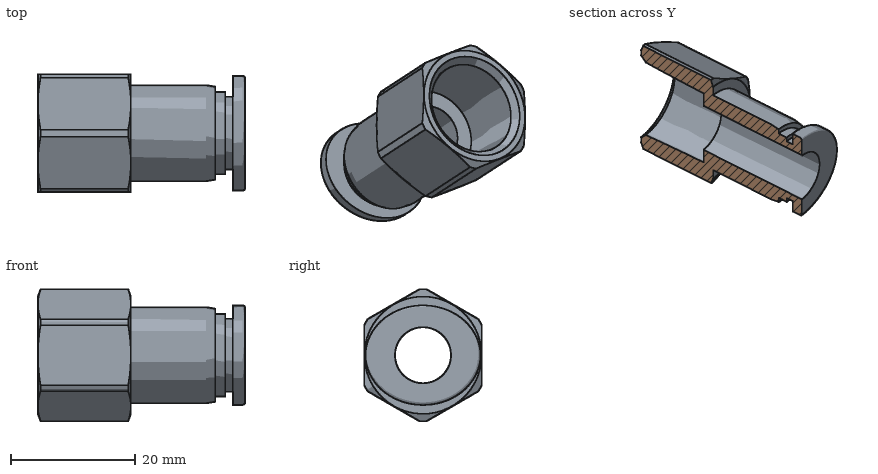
import cadquery as cq
import math

total_length = 33.4
hex_length = 15.0
body_taper_start = 27.12
body_end = 28.6
collar_end = 30.23
ring_start = 31.43

hex_across_flats = 19.0
hex_corner_diameter = 21.3
hex_face_diameter = 18.9
hex_chamfer_angle = 20.0

body_diameter = 15.53
body_end_diameter = 15.03
collar_diameter = 13.33
neck_diameter = 11.8

ring_width = 18.5
ring_height = 16.05
ring_edge_radius = 0.45

socket_mouth_diameter = 16.9
socket_diameter = 14.85
socket_depth = 13.0
socket_taper = 1 / 16
bore_diameter = 9.0


def revolve_about_x(profile):
    """Turn (x, radius) points, closed along the X axis, into a solid of revolution."""
    first_x = profile[0][0]
    last_x = profile[-1][0]
    points = [(first_x, 0)] + profile + [(last_x, 0)]
    return cq.Workplane("XY").polyline(points).close().revolve(360, (0, 0, 0), (1, 0, 0))


def make_hex_nut():
    """Hexagon with flats facing +Y and -Y, its corners turned round and chamfered at both ends."""
    corner_radius = hex_corner_diameter / 2
    face_radius = hex_face_diameter / 2
    chamfer_length = (corner_radius - face_radius) * math.tan(math.radians(hex_chamfer_angle))
    across_corners = hex_across_flats / math.cos(math.radians(30))
    hexagon = (
        cq.Workplane("YZ")
        .transformed(rotate=(0, 0, 90))
        .polygon(6, across_corners)
        .extrude(hex_length)
    )
    turned_envelope = revolve_about_x([
        (0, face_radius),
        (chamfer_length, corner_radius),
        (hex_length - chamfer_length, corner_radius),
        (hex_length, face_radius),
    ])
    return hexagon.intersect(turned_envelope)


def make_stepped_body():
    """Round body with a slightly tapered end, followed by the collar and the neck."""
    return revolve_about_x([
        (hex_length, body_diameter / 2),
        (body_taper_start, body_diameter / 2),
        (body_end, body_end_diameter / 2),
        (body_end, collar_diameter / 2),
        (collar_end, collar_diameter / 2),
        (collar_end, neck_diameter / 2),
        (ring_start, neck_diameter / 2),
    ])


def make_release_ring():
    """Oval ring, wider along Y than along Z, with its outer end edge rounded."""
    return (
        cq.Workplane("YZ", origin=(ring_start, 0, 0))
        .ellipse(ring_width / 2, ring_height / 2)
        .extrude(total_length - ring_start)
        .faces(">X")
        .edges()
        .fillet(ring_edge_radius)
    )


def make_socket():
    """Thread socket: a 45 degree lead-in followed by a tapered hole with a flat floor."""
    lead_in_depth = (socket_mouth_diameter - socket_diameter) / 2
    floor_diameter = socket_diameter - socket_taper * (socket_depth - lead_in_depth)
    return revolve_about_x([
        (0, socket_mouth_diameter / 2),
        (lead_in_depth, socket_diameter / 2),
        (socket_depth, floor_diameter / 2),
    ])


def make_bore():
    """Straight hole through the whole part."""
    return cq.Workplane("YZ").circle(bore_diameter / 2).extrude(total_length)


result = (
    make_hex_nut()
    .union(make_stepped_body())
    .union(make_release_ring())
    .cut(make_socket())
    .cut(make_bore())
)